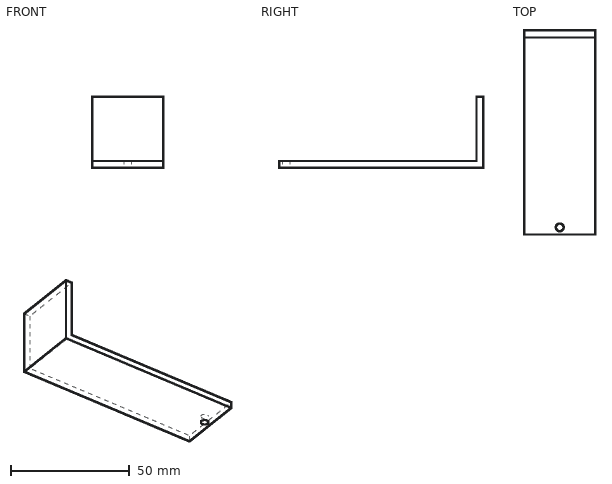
import cadquery as cq

length = 86.0
width = 30.0
height = 30.0
thickness = 3.0
hole_diameter = 3.2
hole_edge_distance = 3.0

bracket = (
    cq.Workplane("YZ")
    .polyline([
        (0, 0),
        (length, 0),
        (length, height),
        (length - thickness, height),
        (length - thickness, thickness),
        (0, thickness),
    ])
    .close()
    .extrude(width / 2, both=True)
)

hole = (
    cq.Workplane("XY")
    .center(0, hole_edge_distance)
    .circle(hole_diameter / 2)
    .extrude(thickness)
)

result = bracket.cut(hole)